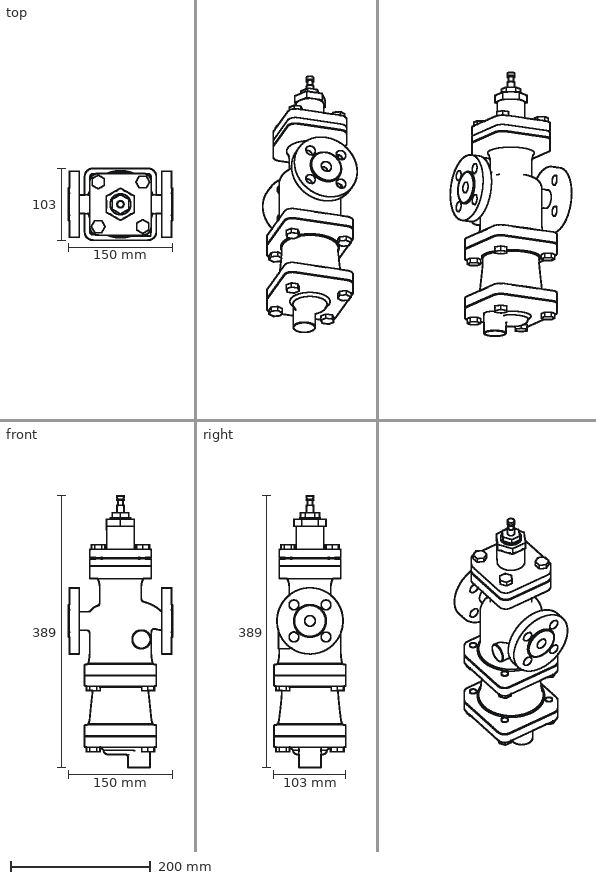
import cadquery as cq
import math

z_bottom_flange = (29.0, 61.0)
z_middle_flange = (116.7, 148.0)
z_top_flange = (270.7, 298.8)
z_cover = (300.7, 312.8)
z_bottom_joint = 45.0
z_middle_joint = 132.0
z_top_joint = 288.5
z_port = 210.0

large_side = 103.0
small_side = 88.5
flange_corner = 12.0
flange_rim = 1.5
gasket_thickness = 1.0
gasket_inset = 0.5

large_bolt_place = 39.0
small_bolt_place = 32.0
bolt_head_flats = 17.0
bolt_head_height = 6.5
large_bolt_diameter = 10.0
small_bolt_diameter = 8.0
bolt_end_height = 0.8
half_step = 30
head_turns = {(-1, 1): half_step, (1, 1): 0, (-1, -1): 0, (1, -1): half_step}

body_radius = 44.5
shell_top_radius = 40.5
shell_root = 1.5
shell_shoulder = 106.5
shell_flare_start = 70.0
body_flare_start = 162.5
flare_radius = 46.3
flare_sag = 0.5
skirt_radius = 48.2
skirt_height = 1.5
shoulder_start = 217.5
neck_radius = 60.0 / 2
neck_blend = 4.5
neck_blend_end = 236.0
neck_flare_start = 259.5
neck_flare_radius = 32.0
neck_root_radius = 33.5
neck_root_height = 2.5

gap_disc_diameter = 52.0
bonnet_diameter = 40.0
bonnet_top = 345.5
cap_nut_top = 356.0
washer_diameter = 30.0
washer_top = 358.0
lock_nut_flats = 24.0
lock_nut_top = 365.3
stem_radius = 5.0
stem_neck_radius = 4.0
stem_groove_radius = 4.3
stem_sleeve_top = 375.5
stem_collar = (382.8, 384.5)
stem_head_bottom = 387.0
stem_top = 389.0

port_face_x = 150.0 / 2
raised_face_height = 2.0
raised_face_diameter = 46.5
raised_face_chamfer = 1.0
port_flange_diameter = 95.0
port_flange_thickness = 14.5
port_flange_rim = 1.0
port_bore_diameter = 15.0
port_hole_diameter = 14.0
port_hole_circle = 65.0
port_hole_count = 4
port_hole_start = 45
pipe_diameter = 27.0
pipe_blend = 4.3
bend_inset = 1.0
bend_middle = (49.0, 214.5)
bend_end = (23.5, 225.5)

boss_place = (30.0, 183.5)
boss_diameter = 27.0
boss_face_y = -45.5
boss_rim = 0.8

outlet_x = 26.5
outlet_diameter = 32.0
outlet_chamfer = 0.8
outlet_blend = 3.5
bowl_bottom = 18.5
bowl_root_radius = 28.8
bowl_edge = (24.5, 25.0)
bowl_flat_radius = 17.5
bowl_bulge_angle = 50


def cylinder(diameter, z_low, z_high):
    return cq.Workplane("XY", origin=(0, 0, z_low)).circle(diameter / 2).extrude(z_high - z_low)


def hexagon(flats, z_low, z_high, turn=0.0, place=(0, 0)):
    """Hexagonal prism; with no turn its corners lie along X."""
    corners = flats / math.cos(math.pi / 6)
    prism = cq.Workplane("XY").polygon(6, corners).extrude(z_high - z_low)
    return prism.rotate((0, 0, 0), (0, 0, 1), turn).translate((place[0], place[1], z_low))


def square_plate(side, z_low, z_high, corner=flange_corner):
    plate = cq.Workplane("XY", origin=(0, 0, z_low)).rect(side, side).extrude(z_high - z_low)
    return plate.edges("|Z").fillet(corner)


def jointed_flange(side, z_range, z_joint):
    """Two bolted plates with a slightly recessed gasket between them."""
    lower = square_plate(side, z_range[0], z_joint - gasket_thickness / 2)
    upper = square_plate(side, z_joint + gasket_thickness / 2, z_range[1])
    gasket = square_plate(
        side - 2 * gasket_inset,
        z_joint - gasket_thickness / 2,
        z_joint + gasket_thickness / 2,
        flange_corner - gasket_inset,
    )
    lower = lower.faces("<Z").edges().fillet(flange_rim)
    upper = upper.faces(">Z").edges().fillet(flange_rim)
    return lower.union(gasket).union(upper)


def flange_bolts(z_range):
    """Four bolts with heads below the flange and ends standing just above it."""
    bolts = cq.Workplane("XY")
    for (sx, sy), turn in head_turns.items():
        place = (sx * large_bolt_place, sy * large_bolt_place)
        head = hexagon(bolt_head_flats, z_range[0] - bolt_head_height, z_range[0], turn, place)
        end = cylinder(large_bolt_diameter, z_range[1], z_range[1] + bolt_end_height)
        bolts = bolts.union(head).union(end.translate((place[0], place[1], 0)))
    return bolts


def flare_middle(start, end):
    """Point inside a hollow flare, a little toward the axis from the chord's middle."""
    return ((start[0] + end[0]) / 2 - flare_sag, (start[1] + end[1]) / 2)


def lower_shell():
    """Tapered shell between the bottom and middle flanges, flared at its foot."""
    flare_start = (body_radius, shell_flare_start)
    flare_end = (flare_radius, z_bottom_flange[1] + skirt_height)
    profile = (
        cq.Workplane("XZ")
        .moveTo(0, z_bottom_flange[1])
        .lineTo(skirt_radius, z_bottom_flange[1])
        .lineTo(*flare_end)
        .threePointArc(flare_middle(flare_start, flare_end), flare_start)
        .lineTo(shell_top_radius, shell_shoulder)
        .lineTo(shell_top_radius, z_middle_flange[0] - shell_root)
        .lineTo(shell_top_radius + shell_root, z_middle_flange[0])
        .lineTo(0, z_middle_flange[0])
        .close()
    )
    return profile.revolve(360, (0, 0, 0), (0, 1, 0))


def main_body():
    """Barrel with a domed shoulder, a hollow blend into the neck and a flared neck top."""
    flare_start = (body_radius, body_flare_start)
    flare_end = (flare_radius, z_middle_flange[1] + skirt_height)

    blend_x = neck_radius + neck_blend
    rise = neck_blend_end - shoulder_start
    offset = body_radius - blend_x
    dome = (offset**2 + rise**2 - neck_blend**2) / (2 * (neck_blend + offset))
    dome_x = body_radius - dome
    touch_angle = math.atan2(rise, blend_x - dome_x)
    blend_middle_angle = math.pi + touch_angle / 2

    def dome_point(angle):
        return (dome_x + dome * math.cos(angle), shoulder_start + dome * math.sin(angle))

    blend_middle = (
        blend_x + neck_blend * math.cos(blend_middle_angle),
        neck_blend_end + neck_blend * math.sin(blend_middle_angle),
    )
    neck_start = (neck_radius, neck_flare_start)
    neck_end = (neck_flare_radius, z_top_flange[0] - neck_root_height)
    profile = (
        cq.Workplane("YZ")
        .moveTo(0, z_middle_flange[1])
        .lineTo(skirt_radius, z_middle_flange[1])
        .lineTo(*flare_end)
        .threePointArc(flare_middle(flare_start, flare_end), flare_start)
        .lineTo(body_radius, shoulder_start)
        .threePointArc(dome_point(touch_angle / 2), dome_point(touch_angle))
        .threePointArc(blend_middle, (neck_radius, neck_blend_end))
        .lineTo(*neck_start)
        .threePointArc(flare_middle(neck_start, neck_end), neck_end)
        .lineTo(neck_root_radius, z_top_flange[0])
        .lineTo(0, z_top_flange[0])
        .close()
    )
    return profile.revolve(360, (0, 0, 0), (0, 1, 0))


def bottom_bowl():
    """Shallow bowl under the bottom flange with the off-centre outlet spigot."""
    mid_angle = math.radians(bowl_bulge_angle)
    corner = (bowl_flat_radius, bowl_edge[1])
    bulge = (
        corner[0] + (bowl_edge[0] - corner[0]) * math.cos(mid_angle),
        corner[1] - (corner[1] - bowl_bottom) * math.sin(mid_angle),
    )
    profile = (
        cq.Workplane("XZ")
        .moveTo(0, z_bottom_flange[0])
        .lineTo(bowl_root_radius, z_bottom_flange[0])
        .lineTo(*bowl_edge)
        .threePointArc(bulge, (bowl_flat_radius, bowl_bottom))
        .lineTo(0, bowl_bottom)
        .close()
    )
    bowl = profile.revolve(360, (0, 0, 0), (0, 1, 0))
    outlet = cylinder(outlet_diameter, 0, z_bottom_flange[0]).translate((outlet_x, 0, 0))
    outlet = outlet.faces("<Z").edges().chamfer(outlet_chamfer)
    return bowl.union(outlet).edges("%BSPLINE").fillet(outlet_blend)


def cover_and_bonnet():
    """Bolted cover plate on its spacing disc, with the bonnet and nuts above."""
    cover = square_plate(small_side, *z_cover).faces("<Z or >Z").edges().fillet(flange_rim)
    top = cover.union(cylinder(gap_disc_diameter, z_top_flange[1], z_cover[0]))
    for (sx, sy), turn in head_turns.items():
        place = (sx * small_bolt_place, sy * small_bolt_place)
        shank = cylinder(small_bolt_diameter, z_top_flange[1], z_cover[1])
        head = hexagon(bolt_head_flats, z_cover[1], z_cover[1] + bolt_head_height, turn, place)
        top = top.union(shank.translate((place[0], place[1], 0))).union(head)
    top = top.union(cylinder(bonnet_diameter, z_cover[1], bonnet_top))
    top = top.union(hexagon(bonnet_diameter, bonnet_top, cap_nut_top, half_step))
    top = top.union(cylinder(washer_diameter, cap_nut_top, washer_top))
    return top.union(hexagon(lock_nut_flats, washer_top, lock_nut_top, half_step))


def stem():
    points = [
        (0, lock_nut_top),
        (stem_radius, lock_nut_top),
        (stem_radius, stem_sleeve_top),
        (stem_neck_radius, stem_sleeve_top),
        (stem_neck_radius, stem_collar[0]),
        (stem_radius, stem_collar[0]),
        (stem_radius, stem_collar[1]),
        (stem_groove_radius, stem_collar[1]),
        (stem_radius, stem_head_bottom),
        (stem_radius, stem_top),
        (0, stem_top),
    ]
    return cq.Workplane("XZ").polyline(points).close().revolve(360, (0, 0, 0), (0, 1, 0))


def port_flange():
    """Round flange on the -X side, without its holes."""
    back_x = -port_face_x + raised_face_height + port_flange_thickness
    plane = cq.Workplane("YZ", origin=(back_x, 0, z_port))
    disc = plane.circle(port_flange_diameter / 2).extrude(-port_flange_thickness)
    disc = disc.faces(">X").edges().fillet(port_flange_rim)
    face_plane = cq.Workplane("YZ", origin=(back_x - port_flange_thickness, 0, z_port))
    face = face_plane.circle(raised_face_diameter / 2).extrude(-raised_face_height)
    return disc.union(face.faces("<X").edges().chamfer(raised_face_chamfer))


def port_holes():
    """Bolt holes and blind bore of the -X flange."""
    depth = raised_face_height + port_flange_thickness
    plane = cq.Workplane("YZ", origin=(-port_face_x, 0, z_port))
    bolts = plane.polarArray(port_hole_circle / 2, port_hole_start, 360, port_hole_count)
    holes = bolts.circle(port_hole_diameter / 2).extrude(depth)
    return holes.union(plane.circle(port_bore_diameter / 2).extrude(depth))


def inlet_pipe():
    length = port_face_x - raised_face_height - port_flange_thickness / 2
    return cq.Workplane("YZ", origin=(-length, 0, z_port)).circle(pipe_diameter / 2).extrude(length)


def outlet_bend():
    """Pipe that climbs from the +X flange into the shoulder in an S of two arcs."""
    back_x = port_face_x - raised_face_height - port_flange_thickness
    start_x = back_x + port_flange_thickness / 2
    path = (
        cq.Workplane("XZ")
        .moveTo(start_x, z_port)
        .lineTo(back_x + bend_inset, z_port)
        .tangentArcPoint(bend_middle, relative=False)
        .tangentArcPoint(bend_end, relative=False)
    )
    section = cq.Workplane("YZ", origin=(start_x, 0, z_port)).circle(pipe_diameter / 2)
    return section.sweep(path)


def side_boss():
    plane = cq.Workplane("XZ", origin=(boss_place[0], boss_face_y, boss_place[1]))
    boss = plane.circle(boss_diameter / 2).extrude(boss_face_y)
    return boss.faces("<Y").edges().chamfer(boss_rim)


body = main_body().union(inlet_pipe()).union(outlet_bend())
body = body.edges("%BSPLINE").fillet(pipe_blend)
body = body.union(side_boss())

result = body.union(lower_shell()).union(bottom_bowl())
result = result.union(jointed_flange(large_side, z_bottom_flange, z_bottom_joint))
result = result.union(jointed_flange(large_side, z_middle_flange, z_middle_joint))
result = result.union(jointed_flange(small_side, z_top_flange, z_top_joint))
result = result.union(flange_bolts(z_bottom_flange)).union(flange_bolts(z_middle_flange))
result = result.union(cover_and_bonnet()).union(stem())
for turn in (0, 180):
    spin = ((0, 0, 0), (0, 0, 1), turn)
    result = result.union(port_flange().rotate(*spin)).cut(port_holes().rotate(*spin))